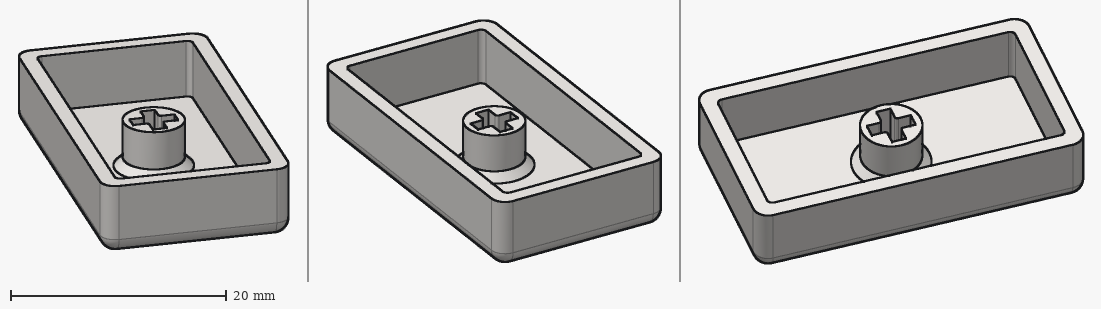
import cadquery as cq

length = 32.35
width = 18.05
height = 6.9
turn_angle = -0.75
wall = 1.6
floor = 1.27
outer_radius = 1.45
inner_radius = 0.52

stem_diameter = 5.8
foot_diameter = 7.48
foot_height = 0.85
stem_top = 5.9
cross_span = 4.33
cross_arm = 1.35
cross_corner_radius = 0.25


def make_shell():
    body = (
        cq.Workplane("XY")
        .rect(length, width)
        .extrude(height)
        .edges("|Z")
        .fillet(outer_radius)
        .faces("<Z")
        .edges()
        .fillet(outer_radius)
    )
    cavity = (
        cq.Workplane("XY")
        .workplane(offset=floor)
        .rect(length - 2 * wall, width - 2 * wall)
        .extrude(height - floor)
        .edges("|Z")
        .fillet(inner_radius)
    )
    return body.cut(cavity).rotate((0, 0, 0), (0, 0, 1), turn_angle)


def make_cross_socket():
    base = cq.Workplane("XY").workplane(offset=floor)
    depth = stem_top - floor
    cross = base.rect(cross_span, cross_arm).extrude(depth)
    cross = cross.union(base.rect(cross_arm, cross_span).extrude(depth))
    corner_edges = cq.selectors.BoxSelector(
        (-cross_arm, -cross_arm, floor),
        (cross_arm, cross_arm, stem_top),
    )
    return cross.edges("|Z").edges(corner_edges).fillet(cross_corner_radius)


def make_stem():
    return (
        cq.Workplane("XZ")
        .moveTo(0, floor)
        .lineTo(foot_diameter / 2, floor)
        .lineTo(stem_diameter / 2, floor + foot_height)
        .lineTo(stem_diameter / 2, stem_top)
        .lineTo(0, stem_top)
        .close()
        .revolve(360, (0, 0, 0), (0, 1, 0))
        .cut(make_cross_socket())
    )


result = make_shell().union(make_stem())